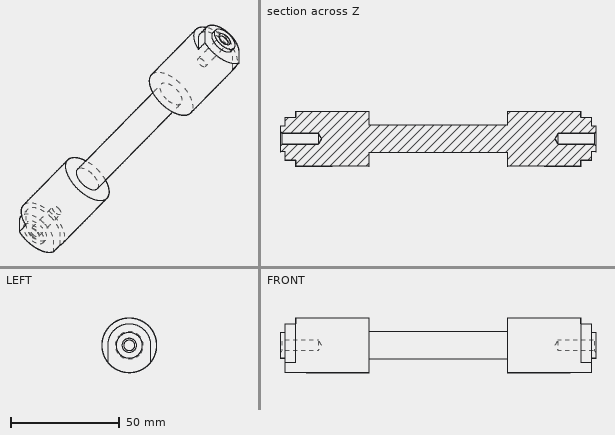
import cadquery as cq
import math

total_length = 146.0
roller_diameter = 25.4
rod_diameter = 12.8
rod_exposed_length = 64.0

boss_diameter = 12.0
boss_length = 2.0
step_width = 19.9
step_length = 5.0

hole_diameter = 5.0
hole_mouth_diameter = 6.5
hole_depth = 17.5
drill_point_angle = 118.0

half_length = total_length / 2
roller_inner_x = rod_exposed_length / 2
step_outer_x = half_length - boss_length
step_inner_x = step_outer_x - step_length


def rod_along_x(diameter, start_x, end_x):
    """Round bar on the X axis between two positions."""
    return cq.Workplane("YZ", origin=(start_x, 0, 0)).circle(diameter / 2).extrude(end_x - start_x)


def make_step():
    """Roller end with a round top and straight sides running down to the roller surface."""
    round_top = rod_along_x(step_width, step_inner_x, step_outer_x)
    lower_block = cq.Workplane("XY").box(
        step_length, step_width, roller_diameter / 2, centered=(False, True, False)
    ).translate((step_inner_x, 0, -roller_diameter / 2))
    roller_end = rod_along_x(roller_diameter, step_inner_x, step_outer_x)
    return round_top.union(lower_block.intersect(roller_end))


def make_hole():
    """Drilled hole with a 45 degree countersink and a conical bottom."""
    hole_radius = hole_diameter / 2
    mouth_radius = hole_mouth_diameter / 2
    countersink_depth = mouth_radius - hole_radius
    point_depth = hole_radius / math.tan(math.radians(drill_point_angle / 2))
    bottom_x = half_length - hole_depth
    profile = [
        (half_length, 0),
        (half_length, mouth_radius),
        (half_length - countersink_depth, hole_radius),
        (bottom_x, hole_radius),
        (bottom_x - point_depth, 0),
    ]
    return cq.Workplane("XY").polyline(profile).close().revolve(360, (0, 0, 0), (1, 0, 0))


def make_roller_end():
    """Roller, step and boss at the +X end."""
    roller = rod_along_x(roller_diameter, roller_inner_x, step_inner_x)
    boss = rod_along_x(boss_diameter, step_outer_x, half_length)
    return roller.union(make_step()).union(boss)


roller_end = make_roller_end()
hole = make_hole()
rod = rod_along_x(rod_diameter, -roller_inner_x, roller_inner_x)

result = rod.union(roller_end).union(roller_end.mirror("YZ"))
result = result.cut(hole).cut(hole.mirror("YZ"))